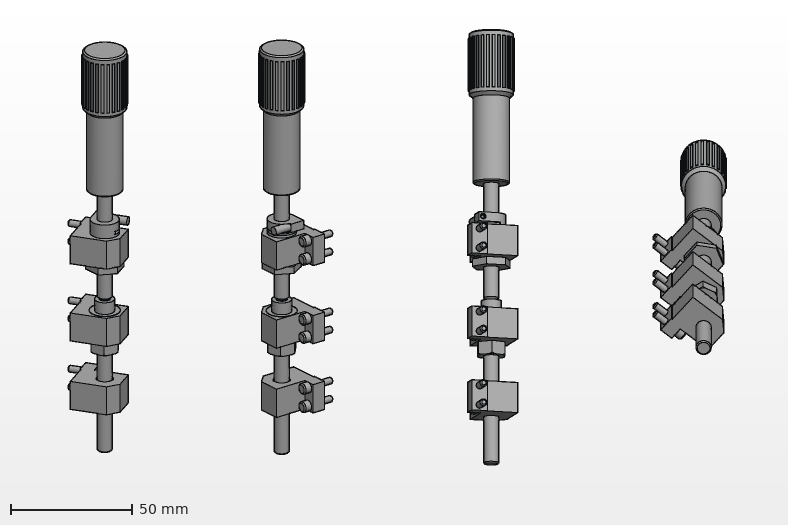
import cadquery as cq

overall_width = 28.7
overall_depth = 21.8
overall_height = 181.4

rod_diameter = 6.3
rod_chamfer = 0.5
neck_diameter = 4.7
neck_top = 69.8

mark_height = 0.2
knob_top = overall_height - mark_height
knob_diameter = 18.3
knob_top_diameter = 16.7
knob_top_chamfer = 0.5
ridge_outer_diameter = 19.0
ridge_count = 25
ridge_start_angle = -90.0
ridge_width = 1.0
ridge_top = 178.8
ridge_bottom = 156.9
knob_bevel_top = 155.3
barrel_diameter = 15.2
barrel_top = 153.8
barrel_bottom = 117.9
barrel_chamfer = 0.5
mark_diameter = 2.0
mark_offset = 6.9

block_tops = (98.5, 63.5, 32.5)
block_height = 12.7
block_left = -12.3
block_right = 8.0
block_front = -7.8
block_back = 6.7
block_chamfer = 4.4
pad_left = -12.9
pad_right = -6.9
pad_front = 5.5
pad_back = overall_depth - ridge_outer_diameter / 2

screw_y = 8.9
screw_spacing = 8.2
screw_diameter = 2.9
screw_tip = ridge_outer_diameter / 2 - overall_width
screw_tip_chamfer = 0.5
screw_head_diameter = 4.7
screw_head_end = -3.5
screw_head_chamfer = 0.5

clearance_diameter = 7.0
clearance_depth = 0.9

clamp_diameter = 12.2
clamp_top = 104.7
slit_top = 100.8
slit_height = 1.3
slit_front = -2.4
slit_core_diameter = 9.0
lug_right = 0.5
lug_back = 7.0
clamp_screw_diameter = 3.6
clamp_screw_end = 8.3
clamp_hole_diameter = 1.6
clamp_hole_mouth = 2.4
clamp_hole_depth = 1.8

thin_nut_corners = 16.3
thin_nut_height = 3.0
thin_nut_angle = 30.0
thick_nut_corners = 12.9
thick_nut_height = 5.5
thick_nut_angle = -13.0
thick_nut_chamfer_diameter = 11.8
thick_nut_chamfer_height = 0.5
spot_face_diameter = 12.9
spot_face_depth = 0.2
collar_diameter = 8.3
collar_top = 68.5


def rod_z(diameter, bottom, top):
    """Upright cylinder on the common axis."""
    return cq.Workplane("XY").workplane(offset=bottom).circle(diameter / 2).extrude(top - bottom)


def rod_x(diameter, start, end, y, z):
    """Cylinder parallel to X."""
    return cq.Workplane("YZ", origin=(start, y, z)).circle(diameter / 2).extrude(end - start)


def make_rod():
    """Rod with a chamfered tip and a tapered neck above the middle collar."""
    rod = rod_z(rod_diameter, 0, barrel_top).faces("<Z").chamfer(rod_chamfer)
    neck_depth = (rod_diameter - neck_diameter) / 2
    groove = (
        cq.Workplane("XZ")
        .moveTo(rod_diameter / 2, neck_top)
        .lineTo(neck_diameter / 2, neck_top - neck_depth)
        .lineTo(neck_diameter / 2, collar_top)
        .lineTo(rod_diameter / 2, collar_top)
        .close()
        .revolve(360, (0, 0, 0), (0, 1, 0))
    )
    return rod.cut(groove)


def make_knob():
    """Barrel and knob in one revolved body, with ridges and a domed index mark."""
    barrel_radius = barrel_diameter / 2
    knob_radius = knob_diameter / 2
    body = (
        cq.Workplane("XZ")
        .moveTo(0, barrel_bottom)
        .lineTo(barrel_radius - barrel_chamfer, barrel_bottom)
        .lineTo(barrel_radius, barrel_bottom + barrel_chamfer)
        .lineTo(barrel_radius, barrel_top)
        .lineTo(knob_radius, knob_bevel_top)
        .lineTo(knob_radius, knob_top - knob_top_chamfer)
        .lineTo(knob_top_diameter / 2, knob_top)
        .lineTo(0, knob_top)
        .close()
        .revolve(360, (0, 0, 0), (0, 1, 0))
    )
    ridge_reach = ridge_outer_diameter / 2
    ridges = (
        cq.Workplane("XY")
        .workplane(offset=ridge_bottom)
        .polarArray(ridge_reach / 2, ridge_start_angle, 360, ridge_count)
        .rect(ridge_reach, ridge_width)
        .extrude(ridge_top - ridge_bottom)
        .intersect(rod_z(ridge_outer_diameter, ridge_bottom, ridge_top))
    )
    mark_radius = mark_diameter / 2
    dome_radius = (mark_radius**2 + mark_height**2) / (2 * mark_height)
    dome = cq.Workplane("XY").sphere(dome_radius).translate((0, 0, overall_height - dome_radius))
    mark = rod_z(mark_diameter, knob_bevel_top, overall_height).intersect(dome)
    mark = mark.translate((0, -mark_offset, 0))
    return body.union(ridges).union(mark)


def make_block(top):
    """Block with a corner chamfer, a side pad and two screws through the pad."""
    bottom = top - block_height
    body = (
        cq.Workplane("XY")
        .workplane(offset=bottom)
        .moveTo(block_left, block_front)
        .lineTo(block_right - block_chamfer, block_front)
        .lineTo(block_right, block_front + block_chamfer)
        .lineTo(block_right, block_back)
        .lineTo(pad_right, block_back)
        .lineTo(pad_right, pad_back)
        .lineTo(pad_left, pad_back)
        .lineTo(pad_left, pad_front)
        .lineTo(block_left, pad_front)
        .close()
        .extrude(block_height)
    )
    middle = top - block_height / 2
    for z in (middle - screw_spacing / 2, middle + screw_spacing / 2):
        shank = rod_x(screw_diameter, screw_tip, pad_right, screw_y, z)
        head = rod_x(screw_head_diameter, pad_right, screw_head_end, screw_y, z)
        body = body.union(shank.faces("<X").chamfer(screw_tip_chamfer))
        body = body.union(head.faces(">X").chamfer(screw_head_chamfer))
    return body


def make_clamp(block_top):
    """Slit collar with a lug, a cross screw and a countersunk hole."""
    clamp_radius = clamp_diameter / 2
    screw_radius = clamp_screw_diameter / 2
    screw_axis_y = lug_back - screw_radius
    screw_axis_z = clamp_top - screw_radius
    lug = (
        cq.Workplane("XY")
        .box(clamp_radius + lug_right, lug_back, clamp_top - slit_top, centered=False)
        .translate((-clamp_radius, 0, slit_top))
    )
    slit = (
        cq.Workplane("XY")
        .box(clamp_diameter, clamp_diameter, slit_height, centered=(True, False, False))
        .translate((0, slit_front, slit_top - slit_height))
        .cut(rod_z(slit_core_diameter, block_top, clamp_top))
    )
    screw = rod_x(clamp_screw_diameter, lug_right, clamp_screw_end, screw_axis_y, screw_axis_z)
    hole_end = clamp_hole_depth - clamp_radius
    hole = rod_x(clamp_hole_diameter, -clamp_radius, hole_end, screw_axis_y, screw_axis_z)
    mouth_depth = (clamp_hole_mouth - clamp_hole_diameter) / 2
    mouth = cq.Solid.makeCone(
        clamp_hole_mouth / 2,
        clamp_hole_diameter / 2,
        mouth_depth,
        cq.Vector(-clamp_radius, screw_axis_y, screw_axis_z),
        cq.Vector(1, 0, 0),
    )
    collar = rod_z(clamp_diameter, block_top, clamp_top).cut(slit)
    return collar.union(lug).union(screw).cut(hole).cut(cq.Workplane(mouth))


def make_nut(corners, height, angle, top):
    """Hexagonal nut hanging below the given height."""
    return (
        cq.Workplane("XY")
        .workplane(offset=top - height)
        .polygon(6, corners)
        .extrude(height)
        .rotate((0, 0, 0), (0, 0, 1), angle)
    )


def make_thick_nut(top):
    """Tall nut whose lower corners are chamfered."""
    bottom = top - thick_nut_height
    nut = make_nut(thick_nut_corners, thick_nut_height, thick_nut_angle, top)
    chamfer_width = (thick_nut_corners - thick_nut_chamfer_diameter) / 2
    envelope = (
        rod_z(thick_nut_corners, bottom, top)
        .faces("<Z")
        .chamfer(thick_nut_chamfer_height, chamfer_width)
    )
    return nut.intersect(envelope)


upper_top, middle_top, lower_top = block_tops

result = make_rod().union(make_knob())
for block_top in block_tops:
    result = result.union(make_block(block_top))

clearance = rod_z(clearance_diameter, lower_top - clearance_depth, lower_top)
clearance = clearance.cut(
    rod_z(rod_diameter, lower_top - clearance_depth, lower_top)
)
spot_face = rod_z(spot_face_diameter, middle_top - spot_face_depth, middle_top)
result = (
    result.union(make_clamp(upper_top))
    .union(make_nut(thin_nut_corners, thin_nut_height, thin_nut_angle, upper_top - block_height))
    .cut(spot_face)
    .union(rod_z(collar_diameter, middle_top - spot_face_depth, collar_top))
    .union(make_thick_nut(middle_top - block_height))
    .cut(clearance)
)